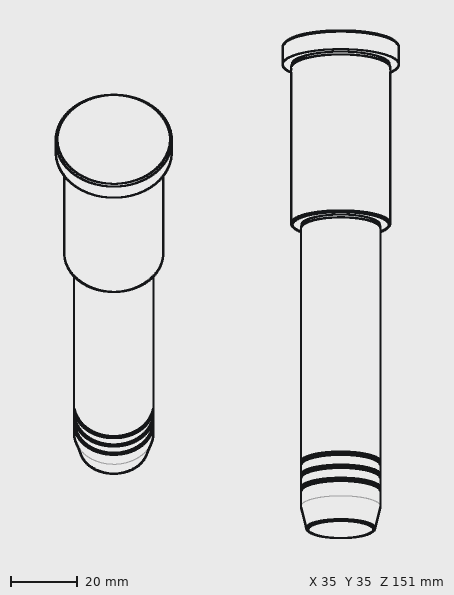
import cadquery as cq

total_length = 151.0
head_height = 6.0
shaft_length = 95.0
head_bottom = total_length - head_height

head_diameter = 35.0
body_diameter = 29.9
shaft_diameter = 24.0
tip_diameter = 20.5

head_chamfer = 0.6
body_chamfer = 0.5
relief_depth = 0.23
relief_height = 0.9

tip_height = 7.2
tip_chamfer = 0.5

groove_depth = 0.3
groove_width = 1.0
groove_pitch = 4.1
lowest_groove_center = 12.4
groove_count = 3


def cylinder(diameter, bottom, top):
    """Solid cylinder about the Z axis between two heights."""
    return cq.Workplane("XY").workplane(offset=bottom).circle(diameter / 2).extrude(top - bottom)


def ring_groove(diameter, depth, bottom, top):
    """Ring that cuts a groove of the given depth into a cylinder."""
    cutter = cylinder(diameter + depth, bottom, top)
    return cutter.cut(cylinder(diameter - 2 * depth, bottom, top))


def v_groove(diameter, depth, center, width):
    """Ring of triangular section that cuts a V groove into a cylinder."""
    radius = diameter / 2
    section = [
        (radius, center - width / 2),
        (radius - depth, center),
        (radius, center + width / 2),
    ]
    return cq.Workplane("XZ").polyline(section).close().revolve(360, (0, 0), (0, 1))


def tapered_tip():
    """Tapered lead-in with a small chamfer around its end face."""
    tip = (
        cq.Workplane("XY")
        .circle(tip_diameter / 2)
        .workplane(offset=tip_height)
        .circle(shaft_diameter / 2)
        .loft(ruled=True)
    )
    return tip.faces("<Z").chamfer(tip_chamfer)


head = cylinder(head_diameter, head_bottom, total_length).faces(">Z").chamfer(head_chamfer)
body = cylinder(body_diameter, shaft_length, head_bottom).faces("<Z").chamfer(body_chamfer)
shaft = cylinder(shaft_diameter, tip_height, shaft_length)

body = body.cut(ring_groove(body_diameter, relief_depth, head_bottom - relief_height, head_bottom))
shaft = shaft.cut(ring_groove(shaft_diameter, relief_depth, shaft_length - relief_height, shaft_length))

for index in range(groove_count):
    center = lowest_groove_center + index * groove_pitch
    shaft = shaft.cut(v_groove(shaft_diameter, groove_depth, center, groove_width))

result = head.union(body).union(shaft).union(tapered_tip())